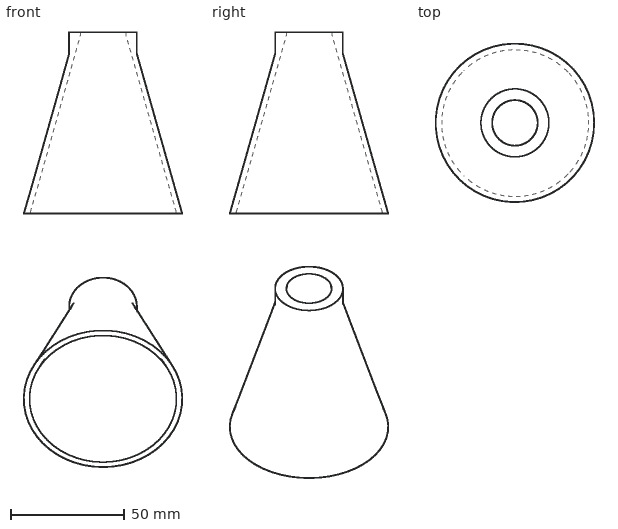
import cadquery as cq
import math

total_height = 80.0
base_diameter = 70.0
collar_diameter = 30.0
bore_diameter = 20.0
collar_height = 9.5
cone_wall = 2.5

base_radius = base_diameter / 2
collar_radius = collar_diameter / 2
bore_radius = bore_diameter / 2
cone_height = total_height - collar_height

radius_loss_per_height = (base_radius - collar_radius) / cone_height
radial_wall = cone_wall * math.hypot(1, radius_loss_per_height)
hollow_base_radius = base_radius - radial_wall
hollow_height = (hollow_base_radius - bore_radius) / radius_loss_per_height

result = (
    cq.Workplane("XZ")
    .moveTo(hollow_base_radius, 0)
    .lineTo(base_radius, 0)
    .lineTo(collar_radius, cone_height)
    .lineTo(collar_radius, total_height)
    .lineTo(bore_radius, total_height)
    .lineTo(bore_radius, hollow_height)
    .close()
    .revolve(360, (0, 0, 0), (0, 1, 0))
)